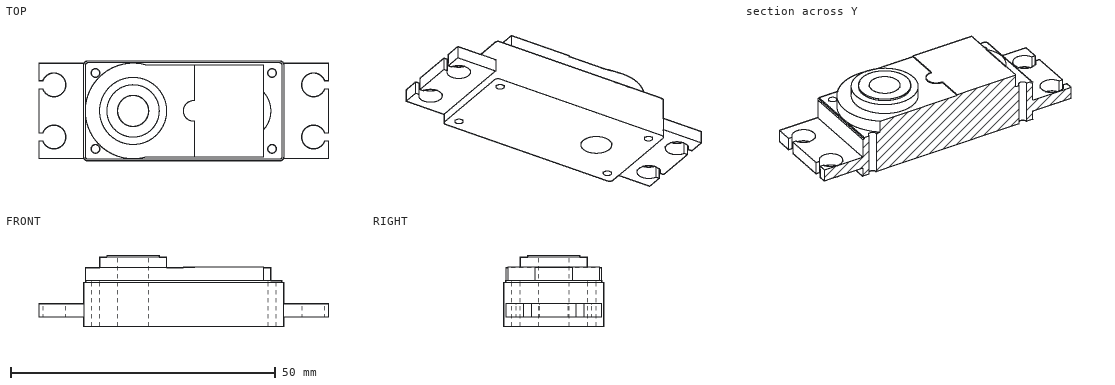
import cadquery as cq

case_length = 37.85
case_width = 18.93
case_shoulder_z = 8.34
corner_radius = 0.75
rim_inset = 0.35
rim_height = 0.33
case_top_z = case_shoulder_z + rim_height

flange_length = 54.83
flange_width = 18.05
flange_bottom_z = 1.79
flange_top_z = 4.35
mount_hole_diameter = 4.45
mount_hole_x = 24.55
mount_hole_y = 4.93
mount_slot_width = 1.5

output_x = -9.58
head_radius = 9.05
gear_cover_top_z = 11.13
gear_cover_width = 17.35
gear_cover_end_x = 15.12
bulge_reach = 1.36
bulge_half_width = 3.52
bulge_radius = (bulge_half_width**2 + bulge_reach**2) / (2 * bulge_reach)
bulge_x = gear_cover_end_x + bulge_reach - bulge_radius

plate_top_z = 11.3
plate_start_x = 2.05
tab_radius = 1.95
tab_x = 1.87

boss_diameter = 12.7
boss_top_z = 13.13
lip_diameter = 9.91
lip_top_z = 13.46
bore_diameter = 5.84

screw_hole_diameter = 1.59
screw_hole_x = 16.7
screw_hole_y = 7.18


def block(start_x, end_x, width, bottom_z, top_z):
    """Box centred on Y between two X positions and two heights."""
    base = cq.Workplane("XY", origin=((start_x + end_x) / 2, 0, bottom_z))
    return base.rect(end_x - start_x, width).extrude(top_z - bottom_z)


def cylinder(x, y, diameter, bottom_z, top_z):
    """Upright cylinder between two heights."""
    return cq.Workplane("XY", origin=(x, y, bottom_z)).circle(diameter / 2).extrude(top_z - bottom_z)


def make_case():
    half_length = case_length / 2
    body = block(-half_length, half_length, case_width, 0, case_shoulder_z)
    body = body.edges("|Z").fillet(corner_radius)
    rim_end = half_length - rim_inset
    rim = block(-rim_end, rim_end, case_width - 2 * rim_inset, case_shoulder_z, case_top_z)
    rim = rim.edges("|Z").fillet(corner_radius - rim_inset)
    return body.union(rim)


def make_flange():
    end_x = flange_length / 2
    flange = block(-end_x, end_x, flange_width, flange_bottom_z, flange_top_z)
    for side_x in (-1, 1):
        for side_y in (-1, 1):
            x = side_x * mount_hole_x
            y = side_y * mount_hole_y
            hole = cylinder(x, y, mount_hole_diameter, flange_bottom_z, flange_top_z)
            slot_start, slot_end = sorted((x, side_x * end_x))
            slot = block(slot_start, slot_end, mount_slot_width, flange_bottom_z, flange_top_z)
            flange = flange.cut(hole).cut(slot.translate((0, y, 0)))
    return flange


def make_gear_cover():
    head = cylinder(output_x, 0, 2 * head_radius, case_top_z, gear_cover_top_z)
    straight = block(output_x, gear_cover_end_x, gear_cover_width, case_top_z, gear_cover_top_z)
    bulge = cylinder(bulge_x, 0, 2 * bulge_radius, case_top_z, gear_cover_top_z)
    return head.union(straight).union(bulge)


def make_plate():
    plate = block(plate_start_x, gear_cover_end_x, gear_cover_width, gear_cover_top_z, plate_top_z)
    tab = cylinder(tab_x, 0, 2 * tab_radius, gear_cover_top_z, plate_top_z)
    return plate.union(tab)


def make_output_boss():
    boss = cylinder(output_x, 0, boss_diameter, gear_cover_top_z, boss_top_z)
    lip = cylinder(output_x, 0, lip_diameter, boss_top_z, lip_top_z)
    return boss.union(lip)


def cut_holes(part):
    part = part.cut(cylinder(output_x, 0, bore_diameter, 0, lip_top_z))
    for x in (-screw_hole_x, screw_hole_x):
        for y in (-screw_hole_y, screw_hole_y):
            part = part.cut(cylinder(x, y, screw_hole_diameter, 0, case_top_z))
    return part


servo = make_case().union(make_flange()).union(make_gear_cover())
servo = servo.union(make_plate()).union(make_output_boss())
result = cut_holes(servo)